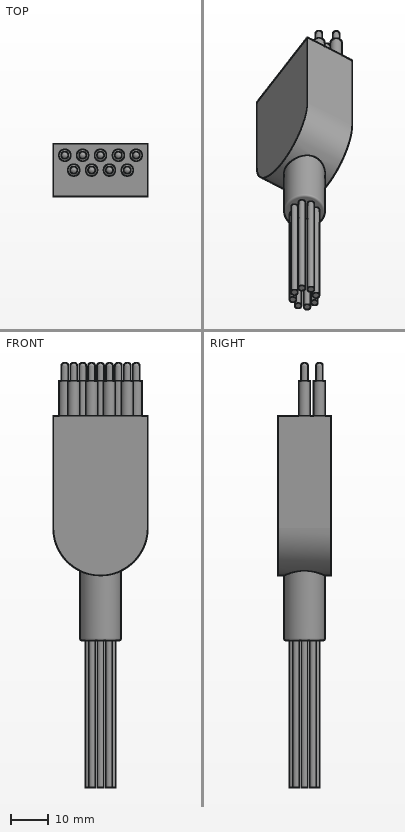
import cadquery as cq
import math

total_height = 114.0
sleeve_bottom = 39.4
body_bottom = 56.9
body_top = 99.7
pin_shoulder = 109.1

body_width = 25.4
body_depth = 14.2
body_end_radius = body_width / 2

sleeve_diameter = 11.0
sleeve_edge_fillet = 0.6

wire_diameter = 1.8
wire_ring_radius = 3.2
wire_count = 8
wire_embed = 1.1

pin_diameter = 3.2
tip_diameter = 1.9
tip_fillet = 0.9
pin_pitch = 4.8
back_row_count = 5
front_row_count = 4
back_row_y = 4.0
front_row_y = 0.0
pin_embed = 1.1


def cylinder(diameter, bottom, top, x=0.0, y=0.0):
    """Upright cylinder between two heights."""
    return cq.Workplane("XY", origin=(x, y, bottom)).circle(diameter / 2).extrude(top - bottom)


def make_body():
    """Block whose lower end is a half circle across the full width."""
    arc_center_z = body_bottom + body_end_radius
    half_width = body_width / 2
    return (
        cq.Workplane("XZ")
        .moveTo(-half_width, body_top)
        .lineTo(-half_width, arc_center_z)
        .threePointArc((0, body_bottom), (half_width, arc_center_z))
        .lineTo(half_width, body_top)
        .close()
        .extrude(body_depth / 2, both=True)
    )


def make_sleeve():
    """Round sleeve that runs up into the rounded end of the body."""
    sleeve_top = body_bottom + body_end_radius
    sleeve = cylinder(sleeve_diameter, sleeve_bottom, sleeve_top)
    return sleeve.faces("<Z").edges().fillet(sleeve_edge_fillet)


def make_wire(x, y):
    """Straight wire anchored a little way inside the sleeve."""
    return cylinder(wire_diameter, 0, sleeve_bottom + wire_embed, x, y)


def make_pin(x, y):
    """Stepped contact pin with a rounded tip."""
    barrel = cylinder(pin_diameter, body_top - pin_embed, pin_shoulder, x, y)
    tip = cylinder(tip_diameter, pin_shoulder - pin_embed, total_height, x, y)
    tip = tip.faces(">Z").edges().fillet(tip_fillet)
    return barrel.union(tip)


def row_positions(count, y):
    """Evenly spaced pin centres, symmetric about x = 0."""
    return [((i - (count - 1) / 2) * pin_pitch, y) for i in range(count)]


wire_positions = []
for i in range(wire_count):
    angle = 2 * math.pi * i / wire_count
    wire_positions.append((wire_ring_radius * math.cos(angle), wire_ring_radius * math.sin(angle)))

pin_positions = row_positions(back_row_count, back_row_y) + row_positions(front_row_count, front_row_y)

result = make_body().union(make_sleeve())
for x, y in wire_positions:
    result = result.union(make_wire(x, y))
for x, y in pin_positions:
    result = result.union(make_pin(x, y))